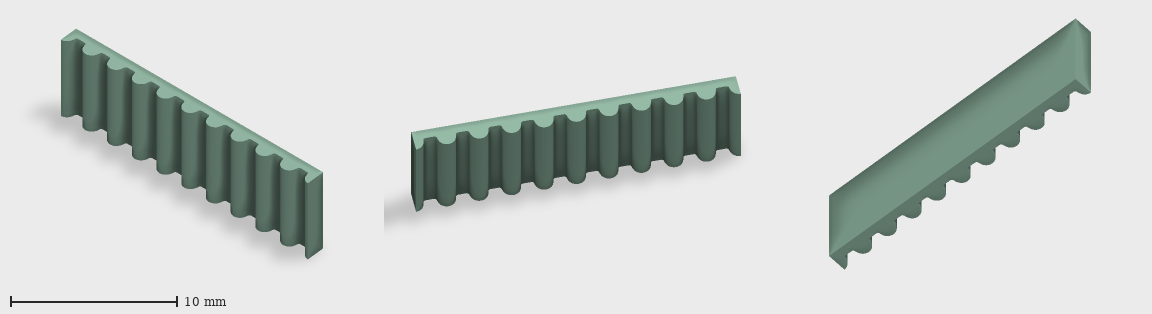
import cadquery as cq
import math

belt_length = 20.0
belt_width = 6.0
belt_thickness = 1.38
groove_count = 10
pitch = belt_length / groove_count

tip_radius = 0.55
flank_radius = 1.0
flank_offset = 0.4
root_radius = 0.15

tip_center_depth = math.sqrt((flank_radius - tip_radius) ** 2 - flank_offset**2)
tooth_height = tip_center_depth + tip_radius
land_y = tooth_height - belt_thickness / 2
back_y = belt_thickness / 2

tip_angle = math.atan2(tip_center_depth, flank_offset)
root_angle = math.asin(root_radius / (flank_radius + root_radius))

root_center_x = (flank_radius + root_radius) * math.cos(root_angle) - flank_offset


def on_arc(center_x, center_depth, radius, angle):
    """Distance from the tooth axis and depth of a point on an arc."""
    return center_x + radius * math.cos(angle), center_depth + radius * math.sin(angle)


tip_start = (0, tooth_height)
half_tooth_arcs = [
    (
        on_arc(0, tip_center_depth, tip_radius, (tip_angle + math.pi / 2) / 2),
        on_arc(0, tip_center_depth, tip_radius, tip_angle),
    ),
    (
        on_arc(-flank_offset, 0, flank_radius, (tip_angle + root_angle) / 2),
        on_arc(-flank_offset, 0, flank_radius, root_angle),
    ),
    (
        on_arc(root_center_x, root_radius, root_radius, math.pi + (root_angle + math.pi / 2) / 2),
        (root_center_x, 0),
    ),
]


def place(point, tooth_x, side):
    """Put a half-tooth point on the given side (+1 or -1) of a tooth axis."""
    distance, depth = point
    return tooth_x + side * distance, land_y - depth


def add_groove(outline, left_x):
    """Trace from one tooth tip, across the land, to the next tooth tip."""
    right_x = left_x + pitch
    for middle, end in half_tooth_arcs:
        outline = outline.threePointArc(place(middle, left_x, 1), place(end, left_x, 1))
    outline = outline.lineTo(*place((root_center_x, 0), right_x, -1))

    arc_starts = [tip_start] + [end for _, end in half_tooth_arcs[:-1]]
    for start, (middle, _) in reversed(list(zip(arc_starts, half_tooth_arcs))):
        outline = outline.threePointArc(place(middle, right_x, -1), place(start, right_x, -1))
    return outline


left_end = -belt_length / 2
right_end = belt_length / 2
profile = cq.Workplane("XY").moveTo(left_end, -belt_thickness / 2)
for groove in range(groove_count):
    profile = add_groove(profile, left_end + groove * pitch)
profile = profile.lineTo(right_end, back_y).lineTo(left_end, back_y).close()

result = profile.extrude(belt_width / 2, both=True)